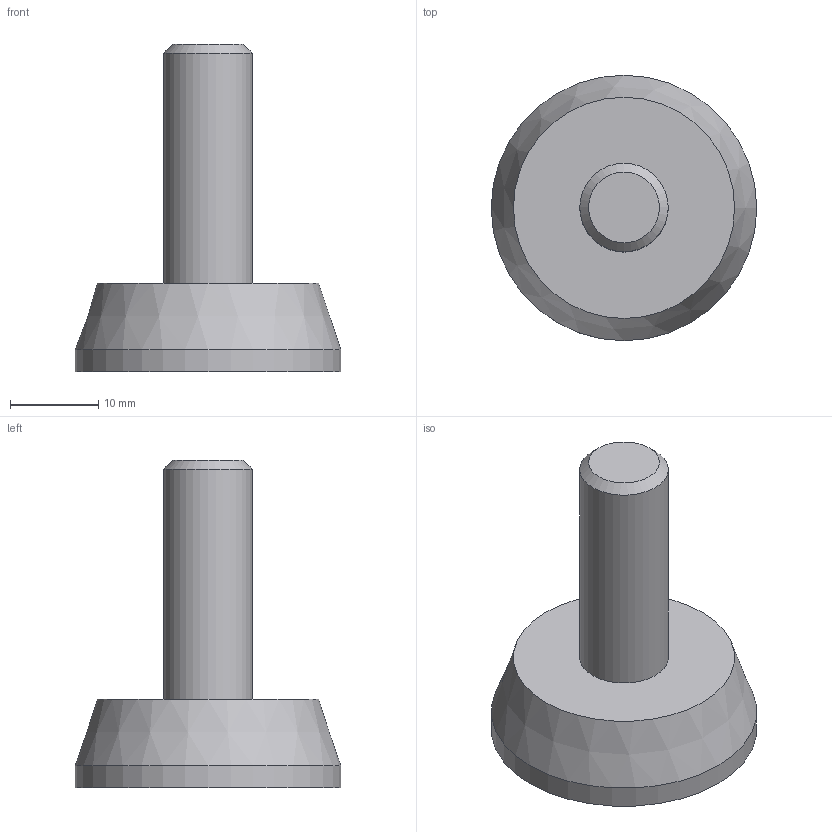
import cadquery as cq

base_diameter = 30.0
rim_height = 2.5
foot_top_diameter = 25.0
foot_height = 10.0

stud_diameter = 10.0
total_height = 37.0
tip_chamfer = 1.0


def make_foot():
    """Rim and tapered body, revolved about Z with the underside at Z = 0."""
    base_radius = base_diameter / 2
    top_radius = foot_top_diameter / 2
    return (
        cq.Workplane("XZ")
        .moveTo(0, 0)
        .lineTo(base_radius, 0)
        .lineTo(base_radius, rim_height)
        .lineTo(top_radius, foot_height)
        .lineTo(0, foot_height)
        .close()
        .revolve(360, (0, 0, 0), (0, 1, 0))
    )


def make_stud():
    """Shaft standing on top of the foot, chamfered at its free end."""
    return (
        cq.Workplane("XY")
        .workplane(offset=foot_height)
        .circle(stud_diameter / 2)
        .extrude(total_height - foot_height)
        .faces(">Z")
        .chamfer(tip_chamfer)
    )


result = make_foot().union(make_stud())